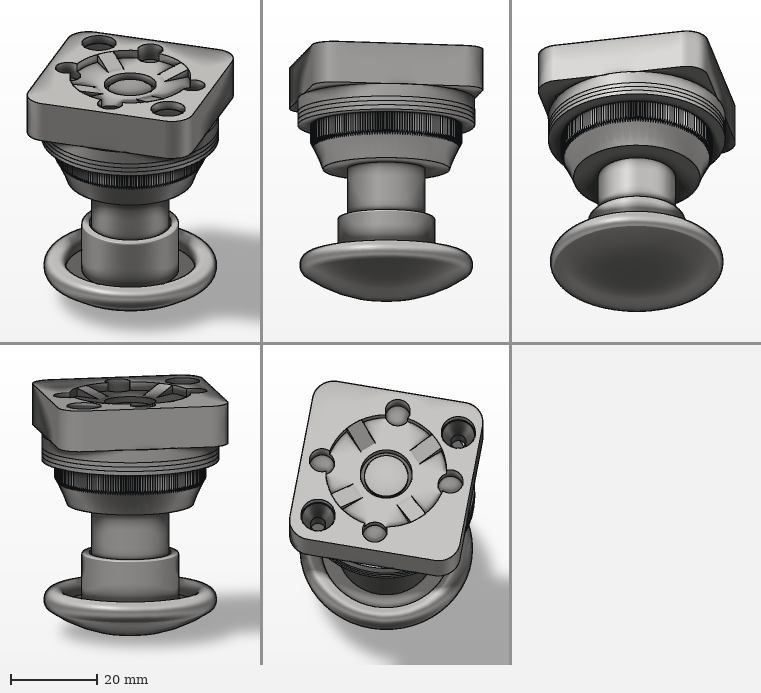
import cadquery as cq
import math

total_height = 56.65
quarter_turns = [0, 90, 180, 270]

plate_size = 40.0
plate_thickness = 9.6
plate_corner_radius = 5.0
flange_diameter = 41.0
flange_thickness = 3.0
stem_diameter = 18.0

recess_diameter = 28.0
recess_depth = 2.0
lobe_diameter = 5.8
lobe_circle_radius = 15.1
lobe_depth = 3.95

center_hole_diameter = 12.0
center_hole_depth = 2.0
boss_diameter = 10.15
boss_height = 0.8

ramp_width = 4.0
ramp_inner_radius = 7.8
ramp_start_angle = 42.5

screw_circle_radius = 19.25
screw_angles = [130, 315]
screw_hole_diameter = 3.5
screw_sink_diameter = 7.5
screw_counterbore_diameter = 7.9
screw_counterbore_depth = 2.0
screw_sink_depth = 3.95

washer_count = 3
washer_thickness = 1.0

nut_height = 10.35
knurl_height = 4.15
knurl_diameter = 35.0
knurl_depth = 0.6
knurl_teeth = 180
nut_waist_diameter = 31.7
nut_waist_height = 3.1
nut_end_diameter = 29.35

cap_diameter = plate_size
rim_tube_diameter = 5.0
rim_land_height = 0.2
cap_floor_drop = 0.7
cap_top_z = 10.65
dome_edge_z = 6.05
collar_diameter = 22.5
collar_bore_diameter = 19.0
collar_top_z = 19.15
collar_fillet = 0.5

plate_bottom_z = total_height - plate_thickness
flange_bottom_z = plate_bottom_z - flange_thickness
nut_top_z = flange_bottom_z - washer_count * washer_thickness
nut_bottom_z = nut_top_z - nut_height
recess_floor_z = total_height - recess_depth
center_hole_floor_z = recess_floor_z - center_hole_depth

rim_tube_radius = rim_tube_diameter / 2
rim_center_radius = cap_diameter / 2 - rim_tube_radius
land_top_z = cap_top_z - rim_tube_radius
land_bottom_z = land_top_z - rim_land_height
cap_floor_z = land_bottom_z - cap_floor_drop


def cylinder(diameter, bottom_z, top_z, x=0.0, y=0.0):
    """Vertical solid cylinder between two levels."""
    disc = cq.Workplane("XY", origin=(x, y, bottom_z)).circle(diameter / 2)
    return disc.extrude(top_z - bottom_z)


def polar(radius, angle):
    """X and Y of a point given by its radius and its angle in degrees."""
    return radius * math.cos(math.radians(angle)), radius * math.sin(math.radians(angle))


def screw_hole(angle):
    """Counterbored and countersunk screw hole that passes through the plate."""
    sink_top_z = total_height - screw_counterbore_depth
    sink_bottom_z = sink_top_z - screw_sink_depth
    profile = (
        cq.Workplane("XZ")
        .moveTo(0, plate_bottom_z)
        .lineTo(screw_hole_diameter / 2, plate_bottom_z)
        .lineTo(screw_hole_diameter / 2, sink_bottom_z)
        .lineTo(screw_sink_diameter / 2, sink_top_z)
        .lineTo(screw_counterbore_diameter / 2, sink_top_z)
        .lineTo(screw_counterbore_diameter / 2, total_height)
        .lineTo(0, total_height)
        .close()
    )
    x, y = polar(screw_circle_radius, angle)
    return profile.revolve(360, (0, 0, 0), (0, 1, 0)).translate((x, y, 0))


def ramp(angle):
    """Wedge that climbs from the recess floor to the plate top at the recess wall."""
    wall_radius = recess_diameter / 2
    wedge = (
        cq.Workplane("XZ")
        .moveTo(ramp_inner_radius, recess_floor_z)
        .lineTo(wall_radius, recess_floor_z)
        .lineTo(wall_radius, total_height)
        .close()
        .extrude(ramp_width / 2, both=True)
    )
    return wedge.rotate((0, 0, 0), (0, 0, 1), angle)


def make_housing():
    body = (
        cq.Workplane("XY", origin=(0, 0, plate_bottom_z))
        .rect(plate_size, plate_size)
        .extrude(plate_thickness)
        .edges("|Z")
        .fillet(plate_corner_radius)
    )
    body = body.cut(cylinder(recess_diameter, recess_floor_z, total_height))
    for angle in quarter_turns:
        body = body.union(ramp(ramp_start_angle + angle))
    for angle in quarter_turns:
        x, y = polar(lobe_circle_radius, angle)
        body = body.cut(cylinder(lobe_diameter, total_height - lobe_depth, total_height, x, y))
    for angle in screw_angles:
        body = body.cut(screw_hole(angle))
    body = body.cut(cylinder(center_hole_diameter, center_hole_floor_z, recess_floor_z))
    body = body.union(cylinder(boss_diameter, center_hole_floor_z, center_hole_floor_z + boss_height))
    body = body.union(cylinder(flange_diameter, flange_bottom_z, plate_bottom_z))
    return body.union(cylinder(stem_diameter, cap_floor_z, flange_bottom_z))


def make_washer(index):
    """Flat ring around the stem; index counts down from the flange."""
    top_z = flange_bottom_z - index * washer_thickness
    bottom_z = top_z - washer_thickness
    return cylinder(flange_diameter, bottom_z, top_z).cut(cylinder(stem_diameter, bottom_z, top_z))


def make_nut():
    """Ring with a knurled band above a hollow-curved taper."""
    taper_top_z = nut_top_z - knurl_height
    blank = (
        cq.Workplane("XZ")
        .moveTo(stem_diameter / 2, nut_top_z)
        .lineTo(knurl_diameter / 2, nut_top_z)
        .lineTo(knurl_diameter / 2, taper_top_z)
        .threePointArc(
            (nut_waist_diameter / 2, nut_bottom_z + nut_waist_height),
            (nut_end_diameter / 2, nut_bottom_z),
        )
        .lineTo(stem_diameter / 2, nut_bottom_z)
        .close()
        .revolve(360, (0, 0, 0), (0, 1, 0))
    )
    tooth_angle = 360 / knurl_teeth
    outline = []
    for tooth in range(knurl_teeth):
        outline.append(polar(knurl_diameter / 2, tooth * tooth_angle))
        outline.append(polar(knurl_diameter / 2 - knurl_depth, (tooth + 0.5) * tooth_angle))
    teeth = cq.Workplane("XY", origin=(0, 0, nut_bottom_z)).polyline(outline).close().extrude(nut_height)
    return blank.intersect(teeth)


def make_knob():
    """Domed cap with a rounded rim and a collar that the stem enters."""
    inner_radius = rim_center_radius - rim_tube_radius
    outer_radius = rim_center_radius + rim_tube_radius
    edge_drop = land_bottom_z - dome_edge_z
    edge_radius = rim_center_radius + math.sqrt(rim_tube_radius**2 - edge_drop**2)
    arc_angle = math.asin(edge_drop / rim_tube_radius) / 2
    rim_arc_middle = (
        rim_center_radius + rim_tube_radius * math.cos(arc_angle),
        land_bottom_z - rim_tube_radius * math.sin(arc_angle),
    )
    dome_radius = (edge_radius**2 + dome_edge_z**2) / (2 * dome_edge_z)
    dome_middle_radius = edge_radius / 2
    dome_middle_z = dome_radius - math.sqrt(dome_radius**2 - dome_middle_radius**2)
    cap = (
        cq.Workplane("XZ")
        .moveTo(0, cap_floor_z)
        .lineTo(inner_radius, cap_floor_z)
        .lineTo(inner_radius, land_top_z)
        .threePointArc((rim_center_radius, cap_top_z), (outer_radius, land_top_z))
        .lineTo(outer_radius, land_bottom_z)
        .threePointArc(rim_arc_middle, (edge_radius, dome_edge_z))
        .threePointArc((dome_middle_radius, dome_middle_z), (0, 0))
        .close()
        .revolve(360, (0, 0, 0), (0, 1, 0))
    )
    collar = cylinder(collar_diameter, cap_floor_z, collar_top_z).faces(">Z").edges().fillet(collar_fillet)
    collar = collar.cut(cylinder(collar_bore_diameter, cap_floor_z, collar_top_z))
    return cap.union(collar)


housing = make_housing()
washers = [make_washer(index) for index in range(washer_count)]
nut = make_nut()
knob = make_knob()

result = cq.Compound.makeCompound(
    [housing.val(), *[washer.val() for washer in washers], nut.val(), knob.val()]
)